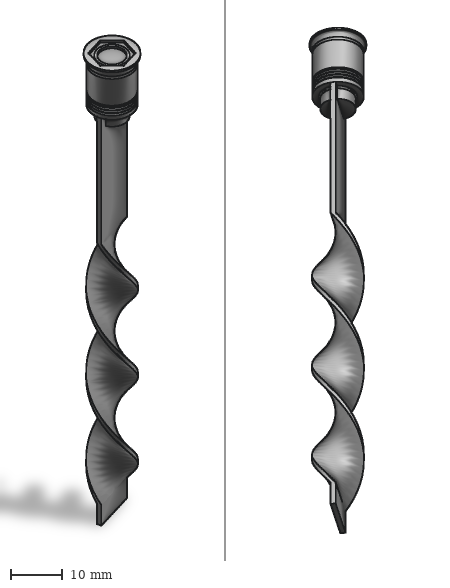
import cadquery as cq
import math

total_height = 112.5

flange_diameter = 11.0
flange_thickness = 0.5
body_diameter = 10.0
housing_length = 12.5
flange_fillet = 0.3
hex_across_flats = 7.9
hex_depth = 0.6

upper_groove_drop = 2.1
upper_groove_width = 0.7
upper_groove_depth = 0.1
thin_groove_drop = 9.1
thin_groove_width = 0.2
thin_groove_depth = 0.1
vee_count = 3
vee_pitch = 0.7
vee_depth = 0.2
first_vee_drop = 9.8

plug_diameter = 6.9
plug_length_below = 2.9
plug_collar_diameter = 7.4
plug_collar_height = 0.5
recess_diameter = 5.7
recess_depth = 0.6

strip_width = body_diameter
strip_thickness = 1.0
foot_length = 5.1
twist_length = 64.0
half_turns = 3

housing_bottom = total_height - housing_length
plug_top = total_height - hex_depth
plug_bottom = housing_bottom - plug_length_below
body_radius = body_diameter / 2


def cylinder(diameter, bottom, top):
    return cq.Workplane("XY").workplane(offset=bottom).circle(diameter / 2).extrude(top - bottom)


def vee_ring(centre_z, width, depth):
    """Ring with a triangular section that cuts a vee groove into the housing wall."""
    half_width = width / 2
    section = [
        (body_radius, centre_z - half_width),
        (body_radius - depth, centre_z),
        (body_radius, centre_z + half_width),
    ]
    return cq.Workplane("XZ").polyline(section).close().revolve(360, (0, 0), (0, 1))


def round_ring(centre_z, width, depth):
    """Ring with a circular-arc section that cuts a shallow round groove."""
    half_width = width / 2
    section = (
        cq.Workplane("XZ")
        .moveTo(body_radius, centre_z - half_width)
        .threePointArc((body_radius - depth, centre_z), (body_radius, centre_z + half_width))
        .close()
    )
    return section.revolve(360, (0, 0), (0, 1))


def make_plug():
    plug = cylinder(plug_diameter, plug_bottom, plug_top)
    collar = (
        cq.Workplane("XY")
        .workplane(offset=housing_bottom)
        .circle(plug_collar_diameter / 2)
        .workplane(offset=-plug_collar_height)
        .circle(plug_diameter / 2)
        .loft(ruled=True)
    )
    recess = cylinder(recess_diameter, plug_top - recess_depth, plug_top)
    slot = cq.Workplane("XY").workplane(offset=plug_bottom).rect(strip_thickness, strip_width)
    return plug.union(collar).cut(recess).cut(slot.extrude(plug_length_below))


def make_housing():
    flange_bottom = total_height - flange_thickness
    neck_radius = body_radius + flange_fillet
    neck_bottom = flange_bottom - flange_fillet
    arc_offset = flange_fillet * math.cos(math.pi / 4)
    section = (
        cq.Workplane("XZ")
        .moveTo(0, housing_bottom)
        .lineTo(body_radius, housing_bottom)
        .lineTo(body_radius, neck_bottom)
        .threePointArc((neck_radius - arc_offset, neck_bottom + arc_offset), (neck_radius, flange_bottom))
        .lineTo(flange_diameter / 2, flange_bottom)
        .lineTo(flange_diameter / 2, total_height)
        .lineTo(0, total_height)
        .close()
    )
    housing = section.revolve(360, (0, 0), (0, 1))

    hex_socket = (
        cq.Workplane("XY")
        .workplane(offset=plug_top)
        .transformed(rotate=(0, 0, 90))
        .polygon(6, hex_across_flats / math.cos(math.pi / 6))
        .extrude(hex_depth)
    )
    plug_bore = cylinder(plug_diameter, housing_bottom, plug_top)
    housing = housing.cut(hex_socket).cut(plug_bore)

    upper_groove_z = total_height - upper_groove_drop
    thin_groove_z = total_height - thin_groove_drop
    housing = housing.cut(round_ring(upper_groove_z, upper_groove_width, upper_groove_depth))
    housing = housing.cut(vee_ring(thin_groove_z, thin_groove_width, thin_groove_depth))
    for index in range(vee_count):
        root_z = total_height - first_vee_drop - index * vee_pitch
        housing = housing.cut(vee_ring(root_z, vee_pitch, vee_depth))
    return housing


def make_strip():
    twist_top = foot_length + twist_length
    foot = cq.Workplane("XY").rect(strip_thickness, strip_width).extrude(foot_length)
    twist = (
        cq.Workplane("XY")
        .workplane(offset=foot_length)
        .rect(strip_thickness, strip_width)
        .twistExtrude(twist_length, -180 * half_turns)
    )
    shank = (
        cq.Workplane("XY")
        .workplane(offset=twist_top)
        .rect(strip_thickness, strip_width)
        .extrude(housing_bottom - twist_top)
    )
    return foot.union(twist).union(shank)


housing = make_housing()
plug = make_plug()
strip = make_strip()

result = cq.Compound.makeCompound([housing.val(), plug.val(), strip.val()])